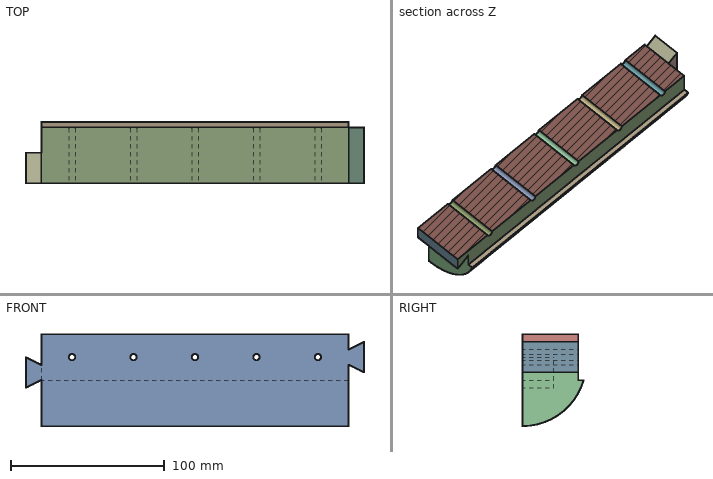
import cadquery as cq

body_length = 200.0
body_height = 60.0
body_depth = 36.5

ledge_depth = 40.0
ledge_height = 30.0
arc_radius = (ledge_depth**2 + ledge_height**2) / (2 * ledge_height)

tongue_length = 10.0
tongue_root_width = 10.0
tongue_tip_width = 20.0
left_tongue_depth = 20.0
left_tongue_height = 35.0
right_tongue_depth = body_depth
right_tongue_height = 45.0

hole_diameter = 4.0
hole_count = 5
hole_pitch = 40.0
hole_height = 45.0


def make_body():
    """Bar with the stepped, round-bottomed section extruded along X."""
    arc_middle_depth = ledge_depth / 2
    arc_middle_height = arc_radius - (arc_radius**2 - arc_middle_depth**2) ** 0.5
    return (
        cq.Workplane("YZ")
        .moveTo(0, 0)
        .threePointArc((arc_middle_depth, arc_middle_height), (ledge_depth, ledge_height))
        .lineTo(body_depth, ledge_height)
        .lineTo(body_depth, body_height)
        .lineTo(0, body_height)
        .close()
        .extrude(body_length / 2, both=True)
    )


def make_tongue(side, centre_height, depth):
    """Dovetail tongue on one end; side is -1 for the -X end and +1 for the +X end."""
    root_x = side * body_length / 2
    tip_x = root_x + side * tongue_length
    half_root = tongue_root_width / 2
    half_tip = tongue_tip_width / 2
    return (
        cq.Workplane("XZ")
        .moveTo(root_x, centre_height - half_root)
        .lineTo(tip_x, centre_height - half_tip)
        .lineTo(tip_x, centre_height + half_tip)
        .lineTo(root_x, centre_height + half_root)
        .close()
        .extrude(-depth)
    )


def make_holes():
    """Cylinders for the evenly spaced row of through holes."""
    first_x = -hole_pitch * (hole_count - 1) / 2
    positions = [(first_x + i * hole_pitch, hole_height) for i in range(hole_count)]
    return (
        cq.Workplane("XZ")
        .pushPoints(positions)
        .circle(hole_diameter / 2)
        .extrude(-ledge_depth)
    )


left_tongue = make_tongue(-1, left_tongue_height, left_tongue_depth)
right_tongue = make_tongue(1, right_tongue_height, right_tongue_depth)

result = make_body().union(left_tongue).union(right_tongue).cut(make_holes())